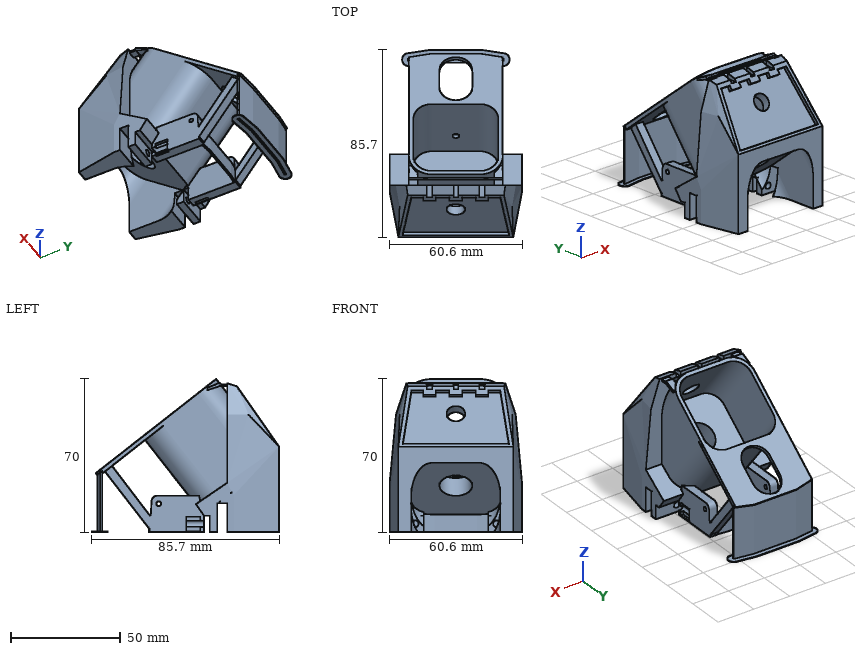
import cadquery as cq
import math

FAR = 200.0

HALF_WIDTH = 30.29
FRONT_HALF_WIDTH = 26.25
SHOULDER_HALF_WIDTH = 25.7
SHOULDER_REAR_HALF_WIDTH = 27.4
PANEL_TOP_HALF_WIDTH = 22.0
RIDGE_HALF_WIDTH = 22.6
HOUSING_REAR_Y = 23.8
TAPER_END_Y = 20.7
SHOULDER_Y = 14.0
PANEL_TOP_Y = 19.3
FRONT_HEIGHT = 39.1
TAPER_END_Z = 16.9
WING_TOP_Z = 22.5
SHOULDER_Z = 53.7
PANEL_TOP_Z = 66.7
RIDGE_Z = 68.1

TILT = math.radians(38.05)
RIM_FRONT_Y = 28.75
RIM_FRONT_Z = 70.02
BLOCK_SIDE = 42.8
WALL = 2.0
STRAIGHT_SIDE = 21.8
BLOCK_DEPTH = 45.2
CAVITY_DEPTH = 35.0
PASSAGE_INSET = 1.0
FLOOR_HOLE_DIAMETER = 15.0
WALL_HOLE_DIAMETER = 3.0
WALL_HOLE_DEPTH = 23.7

PLATE_LENGTH = 69.9
PLATE_THICKNESS = 2.0
BOW_FLAT = 23.6
BOW_DROP = 1.5
SLOT_WIDTH = 15.0
SLOT_LENGTH = 24.9
SLOT_CENTRE_Y = 72.5

PART_REAR_Y = 85.68
FOOT_WIDTH = 6.0
FOOT_THICKNESS = 0.35
FOOT_HALF_SPAN = 21.6
THIN_WALL = 0.9
STAND_HALF_SPAN = 21.9

ARM_INNER_X = 14.7
ARM_OUTER_X = 19.3
POST_FRONT_Y = 28.2
POST_REAR_Y = 31.8
NOTCH_Z = 13.2
WING_TIP_Y = 38.0
WING_TIP_Z = 12.8
ARM_FRONT_Y = 34.3
WING_FOOT_Z = 7.5
ARM_REAR_Y = 59.1
ARM_TOP_REAR_Y = 58.2
ARM_TOP_FRONT_Y = 36.6
ARM_HEIGHT = 16.7
ARM_CORNER_RADIUS = 2.7
PIN_HOLE_DIAMETER = 2.08
PIN_Y = 55.0
PIN_Z = 13.0
SCREW_DIAMETER = 3.11
SCREW_X = 18.6
SCREW_Z = 3.8
POCKET_FRONT_Y = 36.0
POCKET_REAR_Y = 42.5
POCKET_BOTTOM_Z = 0.4
POCKET_TOP_Z = 7.0
POCKET_DEPTH = 1.3

CROSS_HALF_FLAT = 9.7
CROSS_HEIGHT = 8.2
CROSS_REAR_Y = 59.6
CROSS_END_Y = 59.0
STRUT_TOP_REAR_Y = 80.2
STRUT_WIDTH = 4.2
STRUT_BOTTOM_Z = 1.2
STRUT_BOTTOM_TOP_Z = 7.7

RECESS_DEPTH = 1.8
RECESS_BOTTOM = 1.5
RECESS_TOP = 31.4
RECESS_BOTTOM_HALF_WIDTH = 24.3
RECESS_TOP_HALF_WIDTH = 20.3
PAD_WIDTH = 5.8
PAD_BOTTOM = 29.0
HOOK_PITCH = 12.0
OUTER_SLIT_WIDTH = 2.6
MIDDLE_SLIT_WIDTH = 2.1
SLIT_FLOOR_Z = 65.3
SIGHT_HOLE_DIAMETER = 8.45
SIGHT_HOLE_HEIGHT = 55.2
SIGHT_HOLE_DEPTH = 15.0

CLIP_REAR_Y = 32.8
CLIP_BEND_Y = 27.2
CLIP_BOTTOM_Z = 66.7
CLIP_TOP_Z = 67.6
CLIP_BEND_TOP_Z = 68.3
CLIP_TIP_BOTTOM_Z = 64.8
CLIP_TIP_TOP_Z = 65.9
CLIP_HALF_WIDTH = BLOCK_SIDE / 2
CLIP_ARM_WIDTH = 3.9
CLIP_BAR_FRONT_Y = 26.4

SIN, COS = math.sin(TILT), math.cos(TILT)
BLOCK_CENTRE_Y = RIM_FRONT_Y + BLOCK_SIDE / 2 * COS
BLOCK_CENTRE_Z = RIM_FRONT_Z - BLOCK_SIDE / 2 * SIN
PLATE_REAR = PLATE_LENGTH - BLOCK_SIDE / 2
FOOT_LINE_Y = PART_REAR_Y - FOOT_WIDTH / 2

plate_plane = cq.Plane(
    origin=(0, BLOCK_CENTRE_Y, BLOCK_CENTRE_Z), xDir=(1, 0, 0), normal=(0, SIN, COS)
)
slope_plane = cq.Plane(
    origin=(0, 0, FRONT_HEIGHT),
    xDir=(1, 0, 0),
    normal=(0, FRONT_HEIGHT - PANEL_TOP_Z, PANEL_TOP_Y),
)


def on_plate(depth=0.0):
    """Workplane parallel to the plate, the given depth below its top face."""
    return cq.Workplane(plate_plane).workplane(offset=-depth)


def side_prism(points, x_start, x_end):
    """Prism along X from a (Y, Z) outline."""
    sketch = cq.Workplane("YZ").workplane(offset=x_start)
    return sketch.polyline(points).close().extrude(x_end - x_start)


def both_sides(shape):
    return shape.union(shape.mirror("YZ"))


def polygon_face(points):
    return cq.Face.makeFromWires(cq.Wire.makePolygon([cq.Vector(*p) for p in points], close=True))


def rounded_prism(inset, start_depth, length):
    """Rounded square prism down the receptacle axis, inset from the block outline."""
    side = BLOCK_SIDE - 2 * inset
    prism = on_plate(start_depth).rect(side, side).extrude(-length)
    return prism.edges(cq.selectors.ParallelDirSelector(plate_plane.zDir)).fillet(
        (side - STRAIGHT_SIDE) / 2
    )


def plate_height(y, depth=0.0):
    """Z of the plate's top face, or of a parallel face below it, at a given Y."""
    return BLOCK_CENTRE_Z - (y - BLOCK_CENTRE_Y) * math.tan(TILT) - depth / COS


def housing_shell():
    """Faceted housing: flat front, sloped panel, side walls folded at the shoulder."""
    front_low = (FRONT_HALF_WIDTH, 0, 0)
    front_high = (FRONT_HALF_WIDTH, 0, FRONT_HEIGHT)
    taper_low = (HALF_WIDTH, TAPER_END_Y, 0)
    taper_high = (HALF_WIDTH, TAPER_END_Y, TAPER_END_Z)
    rear_low = (HALF_WIDTH, HOUSING_REAR_Y, 0)
    rear_high = (HALF_WIDTH, HOUSING_REAR_Y, WING_TOP_Z)
    shoulder = (SHOULDER_HALF_WIDTH, SHOULDER_Y, SHOULDER_Z)
    shoulder_rear = (SHOULDER_REAR_HALF_WIDTH, HOUSING_REAR_Y, SHOULDER_Z)
    panel_top = (PANEL_TOP_HALF_WIDTH, PANEL_TOP_Y, PANEL_TOP_Z)
    ridge = (RIDGE_HALF_WIDTH, HOUSING_REAR_Y, RIDGE_Z)

    side_faces = [
        [front_low, taper_low, taper_high, front_high],
        [taper_low, rear_low, rear_high, taper_high],
        [front_high, taper_high, rear_high],
        [front_high, rear_high, shoulder],
        [rear_high, shoulder_rear, shoulder],
        [shoulder, shoulder_rear, ridge],
        [shoulder, ridge, panel_top],
        [front_high, shoulder, panel_top],
    ]
    spanning_faces = [
        [front_low, front_high],
        [front_high, panel_top],
        [panel_top, ridge],
        [ridge, shoulder_rear, rear_high, rear_low],
        [front_low, taper_low, rear_low],
    ]

    def mirrored(points):
        return [(-x, y, z) for x, y, z in points]

    faces = []
    for points in side_faces:
        faces.append(polygon_face(points))
        faces.append(polygon_face(mirrored(points)))
    for points in spanning_faces:
        faces.append(polygon_face(points + mirrored(points)[::-1]))
    return cq.Workplane(cq.Solid.makeSolid(cq.Shell.makeShell(faces)))


def wings_and_posts():
    """Side wings behind the housing, each with a post down to the ground."""
    outline = [
        (HOUSING_REAR_Y, WING_TOP_Z),
        (WING_TIP_Y, WING_TIP_Z),
        (ARM_FRONT_Y, WING_FOOT_Z),
        (POST_REAR_Y, WING_FOOT_Z),
        (POST_REAR_Y, 0),
        (POST_FRONT_Y, 0),
        (POST_FRONT_Y, NOTCH_Z),
        (HOUSING_REAR_Y, NOTCH_Z),
    ]
    return both_sides(side_prism(outline, ARM_INNER_X, HALF_WIDTH))


def bracket_arms():
    """Pair of upright arms with a pin hole and an outer pocket."""
    outline = [
        (ARM_FRONT_Y, 0),
        (ARM_REAR_Y, 0),
        (ARM_TOP_REAR_Y, ARM_HEIGHT),
        (ARM_TOP_FRONT_Y, ARM_HEIGHT),
        (ARM_FRONT_Y, WING_FOOT_Z),
    ]
    arm = side_prism(outline, ARM_INNER_X, ARM_OUTER_X)
    arm = arm.edges("|X").edges(">Z").edges(">Y").fillet(ARM_CORNER_RADIUS)
    pin_hole = (
        cq.Workplane("YZ").center(PIN_Y, PIN_Z).circle(PIN_HOLE_DIAMETER / 2).extrude(FAR)
    )
    pocket = cq.Workplane("XY").box(
        POCKET_DEPTH,
        POCKET_REAR_Y - POCKET_FRONT_Y,
        POCKET_TOP_Z - POCKET_BOTTOM_Z,
        centered=False,
    )
    pocket = pocket.translate((ARM_OUTER_X - POCKET_DEPTH, POCKET_FRONT_Y, POCKET_BOTTOM_Z))
    return both_sides(arm.cut(pin_hole).cut(pocket))


def screw_holes():
    """Holes along Y through the posts, ending in the pockets of the arms."""
    length = POCKET_REAR_Y - POST_FRONT_Y
    hole = cq.Workplane("XZ", origin=(SCREW_X, POST_FRONT_Y, SCREW_Z))
    return both_sides(hole.circle(SCREW_DIAMETER / 2).extrude(-length))


def cross_wall():
    """Low bowed wall joining the rear ends of the two arms."""
    path = [
        (-ARM_INNER_X, CROSS_END_Y),
        (-CROSS_HALF_FLAT, CROSS_REAR_Y),
        (CROSS_HALF_FLAT, CROSS_REAR_Y),
        (ARM_INNER_X, CROSS_END_Y),
    ]
    outline = path + [(x, y - THIN_WALL) for x, y in reversed(path)]
    return cq.Workplane("XY").polyline(outline).close().extrude(CROSS_HEIGHT)


def struts():
    """Braces from the plate's underside to the rear of the arms."""
    top_front_y = STRUT_TOP_REAR_Y - STRUT_WIDTH * COS
    embed_depth = PLATE_THICKNESS / 2
    outline = [
        (STRUT_TOP_REAR_Y, plate_height(STRUT_TOP_REAR_Y, embed_depth)),
        (top_front_y, plate_height(top_front_y, embed_depth)),
        (ARM_REAR_Y, STRUT_BOTTOM_TOP_Z),
        (ARM_TOP_REAR_Y, STRUT_BOTTOM_TOP_Z),
        (ARM_TOP_REAR_Y, STRUT_BOTTOM_Z),
        (ARM_REAR_Y, STRUT_BOTTOM_Z),
    ]
    return both_sides(side_prism(outline, ARM_INNER_X, ARM_OUTER_X))


def top_plate():
    """Tilted plate: rounded front end, bowed rear edge and a long slot."""
    half = BLOCK_SIDE / 2
    corner = PLATE_REAR - BOW_DROP / COS
    outline = [
        (-half, -half),
        (half, -half),
        (half, corner),
        (BOW_FLAT / 2, PLATE_REAR),
        (-BOW_FLAT / 2, PLATE_REAR),
        (-half, corner),
    ]
    plate = on_plate().polyline(outline).close().extrude(-PLATE_THICKNESS)
    front_corners = plate.edges(cq.selectors.ParallelDirSelector(plate_plane.zDir)).edges("<Y")
    plate = front_corners.fillet((BLOCK_SIDE - STRAIGHT_SIDE) / 2)
    slot_centre = (SLOT_CENTRE_Y - BLOCK_CENTRE_Y) / COS
    slot = on_plate().center(0, slot_centre).slot2D(SLOT_LENGTH, SLOT_WIDTH, 90)
    return plate.cut(slot.extrude(-PLATE_THICKNESS))


def bowed_band(half_span, width, height):
    """Upright band following the bow of the plate's rear edge."""
    end_y = FOOT_LINE_Y - BOW_DROP
    half = width / 2
    outline = [
        (-half_span, end_y + half),
        (-BOW_FLAT / 2, FOOT_LINE_Y + half),
        (BOW_FLAT / 2, FOOT_LINE_Y + half),
        (half_span, end_y + half),
        (half_span, end_y - half),
        (BOW_FLAT / 2, FOOT_LINE_Y - half),
        (-BOW_FLAT / 2, FOOT_LINE_Y - half),
        (-half_span, end_y - half),
    ]
    return cq.Workplane("XY").polyline(outline).close().extrude(height)


def rear_stand():
    """Thin bowed wall under the plate's rear edge on a flat foot."""
    foot = bowed_band(FOOT_HALF_SPAN, FOOT_WIDTH, FOOT_THICKNESS)
    foot_ends = [(x, FOOT_LINE_Y - BOW_DROP) for x in (-FOOT_HALF_SPAN, FOOT_HALF_SPAN)]
    foot_discs = cq.Workplane("XY").pushPoints(foot_ends).circle(FOOT_WIDTH / 2)
    wall = bowed_band(STAND_HALF_SPAN, THIN_WALL, BLOCK_CENTRE_Z)
    above_plate = on_plate(PLATE_THICKNESS / 2).rect(FAR, FAR).extrude(FAR)
    return foot.union(foot_discs.extrude(FOOT_THICKNESS)).union(wall.cut(above_plate))


def ridge_clip():
    """Two bent side arms behind the ridge, joined by a bar."""
    outline = [
        (HOUSING_REAR_Y, CLIP_BOTTOM_Z),
        (CLIP_BEND_Y, CLIP_BOTTOM_Z),
        (CLIP_REAR_Y, CLIP_TIP_BOTTOM_Z),
        (CLIP_REAR_Y, CLIP_TIP_TOP_Z),
        (CLIP_BEND_Y, CLIP_BEND_TOP_Z),
        (CLIP_BAR_FRONT_Y, CLIP_TOP_Z),
        (HOUSING_REAR_Y, CLIP_TOP_Z),
    ]
    arms = both_sides(side_prism(outline, CLIP_HALF_WIDTH - CLIP_ARM_WIDTH, CLIP_HALF_WIDTH))
    bar_outline = [
        (CLIP_BAR_FRONT_Y, CLIP_BOTTOM_Z),
        (CLIP_BEND_Y, CLIP_BOTTOM_Z),
        (CLIP_BEND_Y, CLIP_BEND_TOP_Z),
        (CLIP_BAR_FRONT_Y, CLIP_TOP_Z),
    ]
    return arms.union(side_prism(bar_outline, -CLIP_HALF_WIDTH, CLIP_HALF_WIDTH))


def panel_recess():
    """Shallow recess in the sloped panel, leaving three pads at its top edge."""
    outline = [
        (-RECESS_BOTTOM_HALF_WIDTH, RECESS_BOTTOM),
        (RECESS_BOTTOM_HALF_WIDTH, RECESS_BOTTOM),
        (RECESS_TOP_HALF_WIDTH, RECESS_TOP),
        (-RECESS_TOP_HALF_WIDTH, RECESS_TOP),
    ]
    recess = cq.Workplane(slope_plane).polyline(outline).close().extrude(-RECESS_DEPTH)
    pad_height = RECESS_TOP - PAD_BOTTOM
    pad_centre = (RECESS_TOP + PAD_BOTTOM) / 2
    pads = cq.Workplane(slope_plane).pushPoints(
        [(side * HOOK_PITCH, pad_centre) for side in (-1, 0, 1)]
    )
    return recess.cut(pads.rect(PAD_WIDTH, pad_height).extrude(-RECESS_DEPTH))


def ridge_slits():
    """Three slits through the ridge above the pads."""
    slits = cq.Workplane("XY")
    for side in (-1, 0, 1):
        width = OUTER_SLIT_WIDTH if side else MIDDLE_SLIT_WIDTH
        slit = cq.Workplane("XY", origin=(side * HOOK_PITCH, HOUSING_REAR_Y / 2, SLIT_FLOOR_Z))
        slits = slits.add(slit.rect(width, HOUSING_REAR_Y).extrude(RIDGE_Z - SLIT_FLOOR_Z))
    return slits.combine()


def sight_hole():
    """Hole square to the sloped panel, into the receptacle."""
    rise = SIGHT_HOLE_HEIGHT - FRONT_HEIGHT
    up_slope = rise / slope_plane.yDir.z
    hole = cq.Workplane(slope_plane).center(0, up_slope).circle(SIGHT_HOLE_DIAMETER / 2)
    return hole.extrude(-SIGHT_HOLE_DEPTH)


def floor_hole():
    """Hole through the floor of the receptacle."""
    hole = on_plate(BLOCK_DEPTH).circle(FLOOR_HOLE_DIAMETER / 2)
    return hole.extrude(BLOCK_DEPTH - CAVITY_DEPTH)


def rear_wall_hole():
    """Small hole through the receptacle's rear wall."""
    wall_plane = cq.Plane(
        origin=plate_plane.toWorldCoords((0, 0, -WALL_HOLE_DEPTH)),
        xDir=(1, 0, 0),
        normal=plate_plane.yDir,
    )
    return cq.Workplane(wall_plane).circle(WALL_HOLE_DIAMETER / 2).extrude(BLOCK_SIDE / 2)


body = housing_shell().union(wings_and_posts())
body = body.cut(ridge_slits())
body = body.cut(rounded_prism(PASSAGE_INSET, BLOCK_DEPTH, FAR))
body = body.union(rounded_prism(0, 0, BLOCK_DEPTH))
body = body.union(bracket_arms()).union(cross_wall())
body = body.union(top_plate()).union(struts()).union(rear_stand()).union(ridge_clip())
body = body.cut(rounded_prism(WALL, 0, CAVITY_DEPTH))
body = body.cut(panel_recess()).cut(sight_hole())
result = body.cut(floor_hole()).cut(rear_wall_hole()).cut(screw_holes())